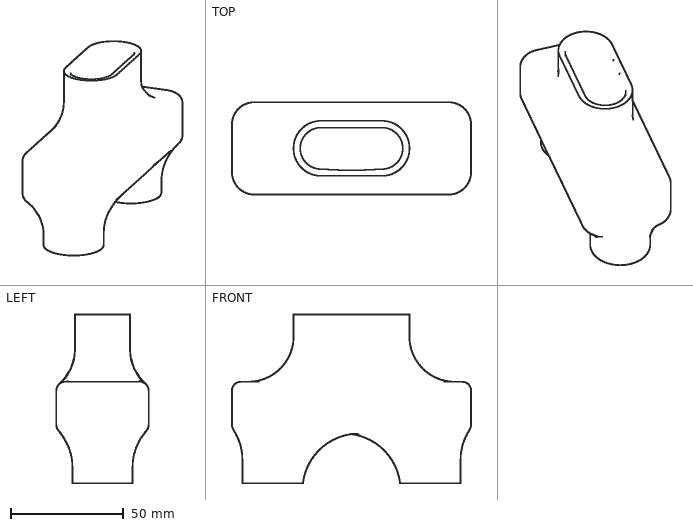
import cadquery as cq

body_length = 106.0
body_width = 41.0
body_height = 23.0
body_bottom = 22.0
body_top = body_bottom + body_height
body_corner_radius = 10.0
body_edge_radius = 4.0

overall_height = 74.8
neck_center_distance = 27.0
neck_radius = 12.2
neck_length = neck_center_distance + 2 * neck_radius
neck_blend_radius = 20.0

leg_radius = 13.35
leg_offset = 35.0
leg_blend_radius = 25.0
leg_overrun = 10.0

wall = 3.0
mouth_radius = 1.25
front_wall_bow = 0.5
bore_radius = neck_radius - wall
bore_floor = body_bottom + wall

pick_margin = 0.1


def make_body():
    """Rounded box, standing above the foot plane."""
    return (
        cq.Workplane("XY", origin=(0, 0, body_bottom))
        .box(body_length, body_width, body_height, centered=(True, True, False))
        .edges("|Z")
        .fillet(body_corner_radius)
        .faces("<Z or >Z")
        .edges()
        .fillet(body_edge_radius)
    )


def add_neck(solid):
    """Obround neck with a large rolling-ball blend at its foot."""
    neck = (
        cq.Workplane("XY", origin=(0, 0, body_top))
        .slot2D(neck_length, 2 * neck_radius)
        .extrude(overall_height - body_top)
    )
    half_length = neck_length / 2 + pick_margin
    half_width = neck_radius + pick_margin
    foot = cq.selectors.BoxSelector(
        (-half_length, -half_width, body_top - pick_margin),
        (half_length, half_width, body_top + pick_margin),
        boundingbox=True,
    )
    return solid.union(neck).edges(foot).fillet(neck_blend_radius)


def add_leg(solid):
    """Round leg on the +X side with a rolling-ball blend; its cylinder seam faces inward."""
    leg = (
        cq.Workplane("XY", origin=(leg_offset, 0, -leg_overrun))
        .circle(leg_radius)
        .extrude(body_bottom + leg_overrun)
        .rotate((leg_offset, 0, 0), (leg_offset, 0, 1), 180)
    )
    reach = leg_radius + pick_margin
    joint = cq.selectors.BoxSelector(
        (leg_offset - reach, -reach, body_bottom - pick_margin),
        (leg_offset + reach, reach, body_bottom + pick_margin),
        boundingbox=True,
    )
    return solid.union(leg).edges(joint).fillet(leg_blend_radius)


def mirror_right_half(solid):
    """Trim the leg at the foot plane and mirror the half with the leg across the YZ plane."""
    keep = cq.Workplane("XY").box(
        body_length, 2 * body_width, overall_height, centered=(False, True, False)
    )
    half = solid.intersect(keep)
    return half.union(half.mirror("YZ"))


def mouth_edges():
    """Selector for the inner outline of the rim."""
    margin = wall / 2
    half_length = neck_length / 2 - margin
    half_width = neck_radius - margin
    return cq.selectors.BoxSelector(
        (-half_length, -half_width, overall_height - pick_margin),
        (half_length, half_width, overall_height + pick_margin),
        boundingbox=True,
    )


def cut_pocket(solid):
    """Flat-floored pocket with a slightly bowed front wall and a rounded mouth."""
    end = neck_center_distance / 2
    pocket = (
        cq.Workplane("XY", origin=(0, 0, bore_floor))
        .moveTo(-end, bore_radius)
        .lineTo(end, bore_radius)
        .threePointArc((end + bore_radius, 0), (end, -bore_radius))
        .threePointArc((0, -bore_radius - front_wall_bow), (-end, -bore_radius))
        .threePointArc((-end - bore_radius, 0), (-end, bore_radius))
        .close()
        .extrude(overall_height - bore_floor)
    )
    return solid.cut(pocket).faces(">Z").edges(mouth_edges()).fillet(mouth_radius)


body = make_body()
body_with_legs = mirror_right_half(add_leg(body))
body_with_neck = add_neck(body_with_legs)
result = cut_pocket(body_with_neck)